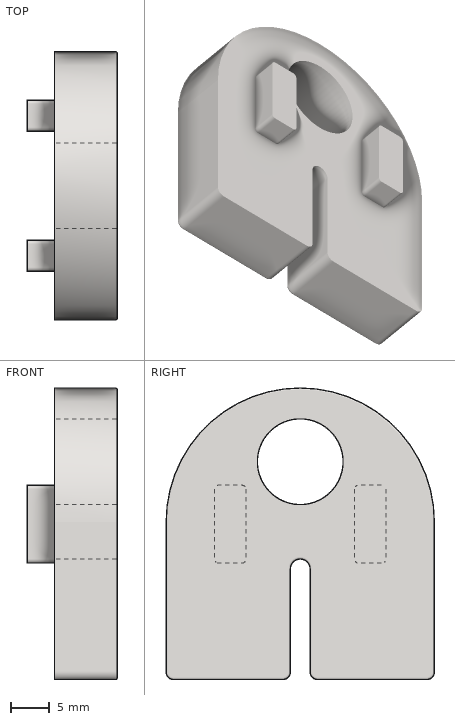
import cadquery as cq

plate_width = 34.5
plate_height = 37.5
plate_thickness = 8.1
crown_radius = plate_width / 2
crown_center_z = plate_height - crown_radius
corner_radius = 1.0
back_edge_round = 0.25

hole_diameter = 11.0
hole_center_z = 28.0

slot_width = 2.5
slot_top_z = 15.5
slot_radius = slot_width / 2

overall_depth = 11.6
peg_length = overall_depth - plate_thickness
peg_width = 4.0
peg_height = 10.0
peg_center_z = 20.0
peg_offset_y = 9.0
peg_corner_radius = 0.5


def slotted_outline():
    """Outline of the plate, running around the bottom slot as well."""
    half_width = plate_width / 2
    slot_round_z = slot_top_z - slot_radius
    return (
        cq.Workplane("YZ")
        .moveTo(slot_radius, 0)
        .lineTo(half_width, 0)
        .lineTo(half_width, crown_center_z)
        .threePointArc((0, plate_height), (-half_width, crown_center_z))
        .lineTo(-half_width, 0)
        .lineTo(-slot_radius, 0)
        .lineTo(-slot_radius, slot_round_z)
        .threePointArc((0, slot_top_z), (slot_radius, slot_round_z))
        .close()
    )


def make_plate():
    """Plate from X = 0 to its thickness, with rounded feet and back rim."""
    plate = slotted_outline().extrude(plate_thickness)
    plate = plate.edges("|X").edges("<Z").fillet(corner_radius)
    plate = plate.faces(">X").edges().fillet(back_edge_round)
    hole = (
        cq.Workplane("YZ")
        .center(0, hole_center_z)
        .circle(hole_diameter / 2)
        .extrude(plate_thickness)
    )
    return plate.cut(hole)


def make_peg(center_y):
    """Rectangular peg standing out of the -X face, rounded along its length."""
    return (
        cq.Workplane("YZ")
        .center(center_y, peg_center_z)
        .rect(peg_width, peg_height)
        .extrude(-peg_length)
        .edges("|X")
        .fillet(peg_corner_radius)
    )


result = make_plate()
for side in (-1, 1):
    result = result.union(make_peg(side * peg_offset_y))